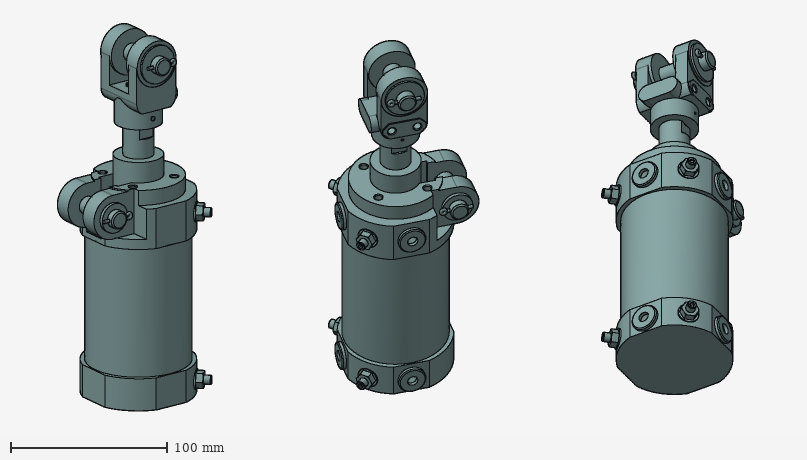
import cadquery as cq
import math


cap_top = 22.0
head_bottom = 110.3
head_top = 137.7
flange_top = 148.0
collar_top = 161.9
rod_flat_bottom = 175.0
hub_bottom = 183.9
block_bottom = 197.0
slot_floor = 209.0
total_height = 244.5

cover_radius = 37.5
cover_flat = 35.5
tube_diameter = 69.0
flange_diameter = 60.5
collar_diameter = 32.8
rod_diameter = 20.0
rod_flat_width = 17.0
thread_diameter = 16.0
thread_chamfer = 0.7

plug_diameter = 18.0
plug_height = 2.7
plug_chamfer = 0.7
plug_hole_diameter = 6.8
plug_hole_depth = 2.5
port_angles = (90, 180)
lower_port_z = 10.0
upper_port_z = 124.5

valve_seat_diameter = 13.7
valve_seat_radius = 38.0
nut_corner_diameter = 12.0
nut_turn = 30
nut_top_radius = 42.5
nut_chamfer = 0.5
needle_diameter = 6.0
needle_tip_radius = 47.5
needle_chamfer = 0.5
needle_socket_diameter = 3.0
needle_socket_depth = 1.5
valve_angles = (45, 135)

tap_diameter = 5.0
tap_rim_diameter = 6.0
tap_depth = 6.0
flange_tap_offset = 16.5

clevis_pin_y = -35.0
clevis_pin_z = 132.0
clevis_lug_radius = 15.0
notch_y = -17.8
clevis_slot_floor = 114.0
clevis_slot_step_y = -23.7
clevis_boss_diameter = 20.0
clevis_boss_height = 2.5

lug_inner = 8.0
lug_outer = 19.8
wide_slot_half = 10.3

fork_lug_diameter = 31.0
fork_lug_radius = fork_lug_diameter / 2
fork_pin_z = total_height - fork_lug_radius
fork_half_width = 19.3
fork_boss_diameter = 26.0
fork_boss_height = 1.5
block_round_top = 204.5
block_round_radius = 8.5
pad_length = 28.9
pad_reach = 20.5
plate_half_length = 14.5
plate_thickness = 1.0
plate_corner = 4.2
plate_tap_offset = 8.5
set_screw_diameter = 3.0
set_screw_z = 190.5
set_screw_reach = 16.1
set_screw_point = 1.2

pin_diameter = 12.0
pin_half_length = 27.6
pin_chamfer = 1.0
split_pin_x = 23.7
split_pin_diameter = 2.3
leg_end = 9.8
eye_centre = 10.0
eye_ring_radius = 1.6

pad_height = slot_floor - block_bottom
block_middle_z = (slot_floor + block_bottom) / 2


def box(x_range, y_range, z_range):
    """Box between two limits on each axis."""
    size = [high - low for low, high in (x_range, y_range, z_range)]
    corner = (x_range[0], y_range[0], z_range[0])
    return cq.Workplane("XY").box(*size, centered=False).translate(corner)


def disc(diameter, bottom, top):
    """Upright cylinder on the Z axis."""
    return cq.Workplane("XY").workplane(offset=bottom).circle(diameter / 2).extrude(top - bottom)


def x_rod(diameter, x_start, x_end, y, z):
    """Cylinder along X."""
    return cq.Workplane("YZ", origin=(x_start, y, z)).circle(diameter / 2).extrude(x_end - x_start)


def tapped_hole():
    """Cutter for a blind tapped hole with a chamfered rim, going down from the origin."""
    rim = tap_rim_diameter / 2
    bore = tap_diameter / 2
    profile = [(0, 0), (rim, 0), (bore, bore - rim), (bore, -tap_depth), (0, -tap_depth)]
    return cq.Workplane("XZ").polyline(profile).close().revolve(360, (0, 0), (0, 1))


def cover(bottom, top):
    """Round end cover with four flats."""
    flats = (-cover_flat, cover_flat)
    return disc(2 * cover_radius, bottom, top).intersect(box(flats, flats, (bottom, top)))


def facing(shape, angle, radius, z):
    """Turn a shape built upward along Z so it points radially outward at an angle from +X."""
    turned = shape.rotate((0, 0, 0), (0, 1, 0), 90).translate((radius, 0, z))
    return turned.rotate((0, 0, 0), (0, 0, 1), angle)


def port_plug():
    return disc(plug_diameter, 0, plug_height).faces(">Z").chamfer(plug_chamfer)


def port_hole():
    """Cutter for the plug's centre hole, with a drill-point end."""
    radius = plug_hole_diameter / 2
    floor = plug_height - plug_hole_depth
    profile = [(0, plug_height), (radius, plug_height), (radius, floor), (0, floor - radius)]
    return cq.Workplane("XZ").polyline(profile).close().revolve(360, (0, 0), (0, 1))


def needle_valve():
    """Round seat, hexagon nut and needle, built upward from the cylinder axis."""
    seat = disc(valve_seat_diameter, cover_flat, valve_seat_radius)
    nut = cq.Workplane("XY", origin=(0, 0, cover_flat)).polygon(6, nut_corner_diameter)
    nut = nut.extrude(nut_top_radius - cover_flat).rotate((0, 0, 0), (0, 0, 1), nut_turn)
    rounding = disc(nut_corner_diameter, cover_flat, nut_top_radius).faces(">Z").chamfer(nut_chamfer)
    needle = disc(needle_diameter, cover_flat, needle_tip_radius).faces(">Z").chamfer(needle_chamfer)
    socket = disc(needle_socket_diameter, needle_tip_radius - needle_socket_depth, needle_tip_radius)
    return seat.union(nut.intersect(rounding)).union(needle).cut(socket)


def clevis_lugs():
    """Block with a rounded end that the clevis slot later splits into two lugs."""
    z_range = (clevis_pin_z - clevis_lug_radius, clevis_pin_z + clevis_lug_radius)
    sides = (-lug_outer, lug_outer)
    lugs = box(sides, (clevis_pin_y, notch_y), z_range)
    lugs = lugs.union(x_rod(2 * clevis_lug_radius, *sides, clevis_pin_y, clevis_pin_z))
    boss_end = lug_outer + clevis_boss_height
    return lugs.union(x_rod(clevis_boss_diameter, -boss_end, boss_end, clevis_pin_y, clevis_pin_z))


def cylinder_body():
    body = disc(tube_diameter, cap_top, head_bottom)
    body = body.union(cover(0, cap_top))
    body = body.union(cover(head_bottom, head_top))
    body = body.union(disc(flange_diameter, head_top, flange_top))

    front = -2 * cover_radius
    notch_floor = clevis_pin_z - clevis_lug_radius
    for x_range in ((-cover_radius, -lug_outer), (lug_outer, cover_radius)):
        body = body.cut(box(x_range, (front, notch_y), (notch_floor, flange_top)))
    body = body.union(clevis_lugs())

    slot_height = (clevis_slot_floor, flange_top)
    body = body.cut(box((-wide_slot_half, wide_slot_half), (clevis_slot_step_y, 0), slot_height))
    body = body.cut(box((-lug_inner, lug_inner), (front, 0), slot_height))
    body = body.union(disc(collar_diameter, clevis_slot_floor, collar_top))
    body = body.cut(x_rod(pin_diameter, -cover_radius, cover_radius, clevis_pin_y, clevis_pin_z))

    for x in (-flange_tap_offset, flange_tap_offset):
        for y in (-flange_tap_offset, flange_tap_offset):
            body = body.cut(tapped_hole().translate((x, y, flange_top)))

    for z in (lower_port_z, upper_port_z):
        for angle in port_angles:
            body = body.union(facing(port_plug(), angle, cover_flat, z))
            body = body.cut(facing(port_hole(), angle, cover_flat, z))
        for angle in valve_angles:
            body = body.union(facing(needle_valve(), angle, 0, z))
    return body.union(piston_rod())


def piston_rod():
    """Rod with two wrench flats and a threaded end that fills the fork's hole."""
    rod = disc(rod_diameter, collar_top, hub_bottom)
    half = rod_flat_width / 2
    for x_range in ((-rod_diameter, -half), (half, rod_diameter)):
        rod = rod.cut(box(x_range, (-rod_diameter, rod_diameter), (rod_flat_bottom, hub_bottom)))
    thread = disc(thread_diameter, hub_bottom, slot_floor).faces(">Z").chamfer(thread_chamfer)
    return rod.union(thread)


def fork_arms():
    """U-shaped arms on a block whose lower edges are rounded along X."""
    side = fork_lug_radius
    drop = block_round_top - block_bottom
    inset = block_round_radius - math.sqrt(block_round_radius**2 - drop**2)
    mid_drop = block_round_radius * math.sin(math.asin(drop / block_round_radius) / 2)
    mid_inset = block_round_radius - math.sqrt(block_round_radius**2 - mid_drop**2)
    mid_z = block_round_top - mid_drop
    outline = (
        cq.Workplane("YZ", origin=(-fork_half_width, 0, 0))
        .moveTo(-side, fork_pin_z)
        .lineTo(-side, block_round_top)
        .threePointArc((mid_inset - side, mid_z), (inset - side, block_bottom))
        .lineTo(side - inset, block_bottom)
        .threePointArc((side - mid_inset, mid_z), (side, block_round_top))
        .lineTo(side, fork_pin_z)
        .close()
    )
    arms = outline.extrude(2 * fork_half_width)
    return arms.cut(box((-wide_slot_half, wide_slot_half), (-side, side), (slot_floor, total_height)))


def fork():
    body = fork_arms().union(disc(fork_lug_diameter, hub_bottom, block_middle_z))

    boss_end = lug_outer + fork_boss_height
    for inner, outer, boss in ((-lug_inner, -lug_outer, -boss_end), (lug_inner, lug_outer, boss_end)):
        body = body.union(x_rod(fork_lug_diameter, inner, outer, 0, fork_pin_z))
        body = body.union(x_rod(fork_boss_diameter, outer, boss, 0, fork_pin_z))

    pad = cq.Workplane("XZ", origin=(0, pad_reach, block_middle_z))
    body = body.union(pad.slot2D(pad_length, pad_height).extrude(pad_reach))

    plate_face = fork_half_width + plate_thickness
    plate = box(
        (-plate_face, -fork_half_width),
        (-plate_half_length, plate_half_length),
        (block_bottom, slot_floor),
    )
    body = body.union(plate.edges("|X").chamfer(plate_corner))
    for y in (-plate_tap_offset, plate_tap_offset):
        hole = facing(tapped_hole(), 180, plate_face, block_middle_z)
        body = body.cut(hole.translate((0, y, 0)))

    screw = x_rod(set_screw_diameter, -set_screw_reach, set_screw_reach, 0, set_screw_z)
    body = body.union(screw.faces("<X").chamfer(set_screw_point))

    body = body.cut(x_rod(pin_diameter, -boss_end, boss_end, 0, fork_pin_z))
    return body.cut(disc(thread_diameter, hub_bottom, slot_floor))


def split_pin():
    """Split pin along Y through the origin, with its eye at +Y."""
    leg = cq.Workplane("XZ", origin=(0, eye_centre - eye_ring_radius, 0))
    leg = leg.circle(split_pin_diameter / 2).extrude(leg_end + eye_centre - eye_ring_radius)
    eye = cq.Solid.makeTorus(
        eye_ring_radius, split_pin_diameter / 2, cq.Vector(0, eye_centre, 0), cq.Vector(1, 0, 0)
    )
    return leg.union(cq.Workplane(eye))


def clevis_pin():
    """Chamfered pin along X through the origin, with a cross hole near each end."""
    pin = x_rod(pin_diameter, -pin_half_length, pin_half_length, 0, 0)
    pin = pin.faces("<X or >X").chamfer(pin_chamfer)
    for x in (-split_pin_x, split_pin_x):
        hole = cq.Workplane("XZ", origin=(x, pin_diameter, 0))
        pin = pin.cut(hole.circle(split_pin_diameter / 2).extrude(2 * pin_diameter))
    return pin


pins = []
split_pins = []
for y, z in ((clevis_pin_y, clevis_pin_z), (0, fork_pin_z)):
    pins.append(clevis_pin().translate((0, y, z)).val())
    for x in (-split_pin_x, split_pin_x):
        split_pins.append(split_pin().translate((x, y, z)).val())

result = cq.Compound.makeCompound([cylinder_body().val(), fork().val(), *pins, *split_pins])